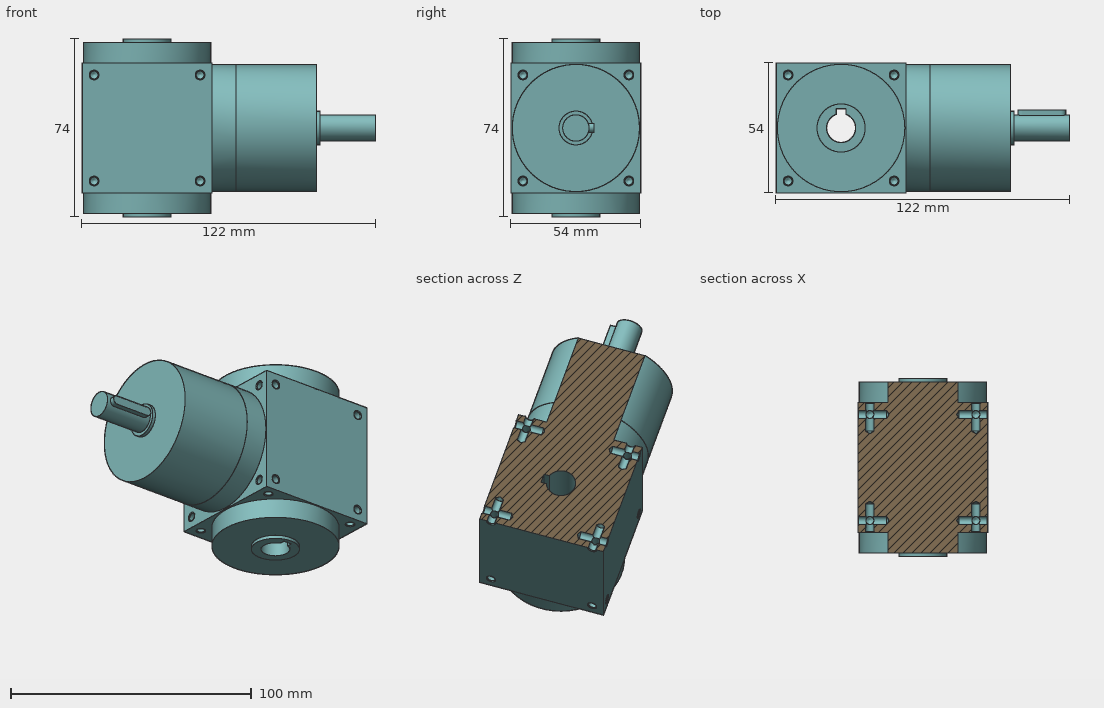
import cadquery as cq
import math

CUBE = 54.0
HALF = CUBE / 2

COVER_DIAMETER = 53.0
COVER_HEIGHT = 8.5
HUB_DIAMETER = 20.0
HUB_HEIGHT = 1.5
BORE_DIAMETER = 12.0
BORE_KEYWAY_TOP = 7.9

TOTAL_LENGTH = 122.0
ADAPTER_DIAMETER = 53.0
ADAPTER_END = 64.0
BARREL_DIAMETER = 52.8
BARREL_END = 97.5
COLLAR_DIAMETER = 14.0
COLLAR_END = 99.0
SHAFT_DIAMETER = 11.0

KEY_WIDTH = 3.9
KEY_LENGTH = 20.0
KEY_HEIGHT = 4.0
KEY_TOP = 7.6
KEY_END_GAP = 1.6

HOLE_SPACING = 44.0
HOLE_DIAMETER = 3.3
HOLE_MOUTH_DIAMETER = 4.0
HOLE_DEPTH = 12.0
HOLE_TIP_ANGLE = 120.0

COVER_SPAN = CUBE + 2 * COVER_HEIGHT
HUB_SPAN = COVER_SPAN + 2 * HUB_HEIGHT
X_MIN = -HALF
SHAFT_END = X_MIN + TOTAL_LENGTH


def disc_along_x(diameter, start, end):
    """Cylinder on the X axis between two X positions."""
    return cq.Workplane("YZ").workplane(offset=start).circle(diameter / 2).extrude(end - start)


def disc_along_z(diameter, height):
    """Cylinder on the Z axis, centred on the origin."""
    return cq.Workplane("XY").circle(diameter / 2).extrude(height / 2, both=True)


def make_drive_side():
    """Adapter, barrel, collar and shaft, each starting where the previous one ends."""
    steps = [
        (ADAPTER_DIAMETER, ADAPTER_END),
        (BARREL_DIAMETER, BARREL_END),
        (COLLAR_DIAMETER, COLLAR_END),
        (SHAFT_DIAMETER, TOTAL_LENGTH),
    ]
    start = HALF
    drive = cq.Workplane("YZ")
    for diameter, distance in steps:
        end = X_MIN + distance
        drive = drive.union(disc_along_x(diameter, start, end))
        start = end
    return drive


def make_bore():
    """Through bore along Z with a keyway on its +Y side."""
    keyway = cq.Workplane("XY", origin=(0, BORE_KEYWAY_TOP / 2, 0)).box(KEY_WIDTH, BORE_KEYWAY_TOP, HUB_SPAN)
    return disc_along_z(BORE_DIAMETER, HUB_SPAN).union(keyway)


def make_hole():
    """Cutter for a screw hole that enters the top face on the Z axis."""
    radius = HOLE_DIAMETER / 2
    mouth = HOLE_MOUTH_DIAMETER / 2
    tip = radius / math.tan(math.radians(HOLE_TIP_ANGLE / 2))
    profile = [
        (0, HALF),
        (mouth, HALF),
        (radius, HALF - (mouth - radius)),
        (radius, HALF - HOLE_DEPTH),
        (0, HALF - HOLE_DEPTH - tip),
    ]
    return cq.Workplane("XZ").polyline(profile).close().revolve(360, (0, 0, 0), (0, 1, 0))


def make_face_holes():
    """Cutter for the four corner holes of the top face."""
    corners = cq.Workplane("XY").rect(HOLE_SPACING, HOLE_SPACING, forConstruction=True).vertices()
    hole = make_hole().val()
    return corners.eachpoint(lambda place: hole.moved(place), combine=False)


def make_key():
    """Round-ended key; its lower part lies inside the drive shaft."""
    centre_x = SHAFT_END - KEY_END_GAP - KEY_LENGTH / 2
    return (
        cq.Workplane("XZ", origin=(centre_x, KEY_TOP, 0))
        .slot2D(KEY_LENGTH, KEY_WIDTH)
        .extrude(KEY_HEIGHT)
    )


def make_gearbox(key):
    """Housing, covers and shafts in one solid, with a seat cut for the key."""
    gearbox = (
        cq.Workplane("XY").box(CUBE, CUBE, CUBE)
        .union(disc_along_z(COVER_DIAMETER, COVER_SPAN))
        .union(disc_along_z(HUB_DIAMETER, HUB_SPAN))
        .union(make_drive_side())
        .cut(make_bore())
    )
    face_holes = make_face_holes()
    for quarter in range(4):
        gearbox = gearbox.cut(face_holes.rotate((0, 0, 0), (1, 0, 0), 90 * quarter))
    for side in (-90, 90):
        gearbox = gearbox.cut(face_holes.rotate((0, 0, 0), (0, 1, 0), side))
    return gearbox.cut(key)


key = make_key()
gearbox = make_gearbox(key)

result = cq.Compound.makeCompound([gearbox.val(), key.val()])